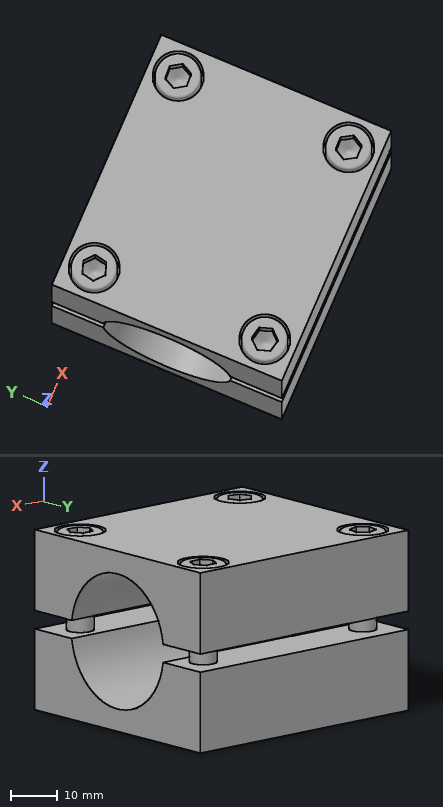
import cadquery as cq
import math

length = 60.0
width = 54.0
height = 40.0
gap = 4.0
bore_diameter = 30.0

screw_spacing_x = 46.0
screw_spacing_y = 40.0
shank_diameter = 6.0
head_diameter = 10.0
head_height = 6.0
head_edge_radius = 0.6
counterbore_diameter = 11.05

socket_across_flats = 5.0
socket_depth = 3.0
drill_point_angle = 120.0

socket_angles = {
    (-1, -1): -12.0,
    (-1, 1): 19.0,
    (1, -1): 1.0,
    (1, 1): 3.0,
}

top = height / 2
head_bottom = top - head_height
socket_across_corners = socket_across_flats / math.cos(math.radians(30))


def cylinder(diameter, bottom, depth):
    return cq.Workplane("XY").workplane(offset=bottom).circle(diameter / 2).extrude(depth)


def make_clamp_halves():
    block = cq.Workplane("XY").box(length, width, height)
    split = cq.Workplane("XY").box(length, width, gap)
    bore = cq.Workplane("YZ").circle(bore_diameter / 2).extrude(length / 2, both=True)
    return block.cut(split).cut(bore)


def make_socket(corner_angle):
    """Hexagonal prism ending in a cone that spans the hexagon corners."""
    floor = top - socket_depth
    cone_radius = socket_across_corners / 2
    cone_depth = cone_radius / math.tan(math.radians(drill_point_angle / 2))
    prism = (
        cq.Workplane("XY")
        .workplane(offset=floor - cone_depth)
        .polygon(6, socket_across_corners)
        .extrude(socket_depth + cone_depth)
        .rotate((0, 0, 0), (0, 0, 1), corner_angle)
    )
    pointed_drill = (
        cq.Workplane("XZ")
        .moveTo(0, floor - cone_depth)
        .lineTo(cone_radius, floor)
        .lineTo(cone_radius, top)
        .lineTo(0, top)
        .close()
        .revolve(360, (0, 0), (0, 1))
    )
    return prism.intersect(pointed_drill)


def make_screw(corner_angle):
    """Screw on the Z axis, its shank ending flush with the clamp's underside."""
    head = cylinder(head_diameter, head_bottom, head_height)
    head = head.faces(">Z").edges().fillet(head_edge_radius)
    shank = cylinder(shank_diameter, -height / 2, head_bottom + height / 2)
    return head.union(shank).cut(make_socket(corner_angle))


result = make_clamp_halves()
for (side_x, side_y), corner_angle in socket_angles.items():
    position = (side_x * screw_spacing_x / 2, side_y * screw_spacing_y / 2, 0)
    counterbore = cylinder(counterbore_diameter, head_bottom, head_height)
    result = result.cut(counterbore.translate(position))
    result = result.union(make_screw(corner_angle).translate(position))